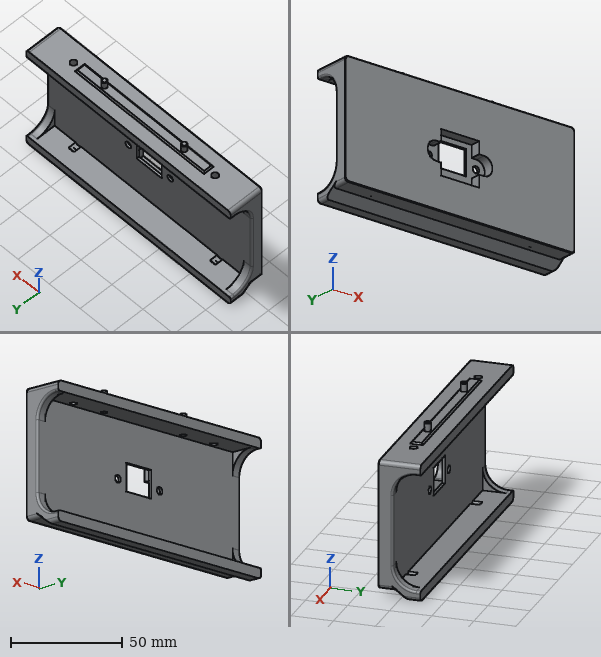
import cadquery as cq

LENGTH = 132.0
DEPTH = 20.0
HEIGHT = 66.0
END_RADIUS = 2.0
FRONT_CHAMFER = 0.4

WALL = 7.0
FLANGE = 5.0
GUSSET_WIDTH = 5.0
GUSSET_RADIUS = 11.0
CAVITY_EDGE_RADIUS = 1.0
CAVITY_BOTTOM_Z = FLANGE
CAVITY_TOP_Z = HEIGHT - FLANGE
CAVITY_HEIGHT = CAVITY_TOP_Z - CAVITY_BOTTOM_Z
SELECT_MARGIN = 0.1

STEP_HEIGHT = 4.0
STEP_END_Y = 9.2
SLOPE_END_Y = 14.4

RECESS_WIDTH = 21.9
RECESS_HEIGHT = 23.0
RECESS_DEPTH = 5.5
EAR_DIAMETER = 10.0
SCREW_SPACING = 27.0
SCREW_HOLE_DIAMETER = 3.5
WINDOW_WIDTH = 16.0
WINDOW_HEIGHT = 13.5
RECESS_Z = HEIGHT / 2
WINDOW_OFFSET = 2.0
WINDOW_Z = RECESS_Z + WINDOW_OFFSET

TOP_Y = DEPTH / 2
STRIP_LENGTH = 83.3
STRIP_WIDTH = 6.1
STRIP_HEIGHT = 0.8
TOP_HOLE_SPACING = 91.3
TOP_HOLE_DIAMETER = 3.5

GROOVE_DIAMETER = 5.5
GROOVE_DEPTH = 0.7
GROOVE_END_Y = 11.4

PIN_DIAMETER = 3.0
PIN_SPACING = 51.5
PIN_TOP_Z = 71.0
PIN_CHAMFER = 0.4
PIN_BOTTOM_Z = CAVITY_TOP_Z


def centred_box(width, depth, height, y_start, z_centre):
    """Box centred on X = 0 that starts at y_start and runs towards +Y."""
    return cq.Workplane("XY").box(width, depth, height).translate((0, y_start + depth / 2, z_centre))


def make_shell():
    """Solid outer block with the stepped underside, rounded ends and chamfered front."""
    block = (
        cq.Workplane("YZ")
        .moveTo(0, STEP_HEIGHT)
        .lineTo(STEP_END_Y, STEP_HEIGHT)
        .lineTo(SLOPE_END_Y, 0)
        .lineTo(DEPTH, 0)
        .lineTo(DEPTH, HEIGHT)
        .lineTo(0, HEIGHT)
        .close()
        .extrude(LENGTH / 2, both=True)
    )
    return block.edges("|Y").fillet(END_RADIUS).faces("<Y").chamfer(FRONT_CHAMFER)


def cut_cavity(body):
    """Cut an opening with rounded corners, round its end rims, then square it between the gussets."""
    opening = (
        centred_box(LENGTH, DEPTH - WALL, CAVITY_HEIGHT, WALL, HEIGHT / 2)
        .edges("|X and <Y")
        .fillet(GUSSET_RADIUS)
    )
    middle_length = LENGTH - 2 * GUSSET_WIDTH
    middle = centred_box(middle_length, DEPTH - WALL, CAVITY_HEIGHT, WALL, HEIGHT / 2)
    body = body.cut(opening)
    for end_x in (-LENGTH / 2, LENGTH / 2):
        rim = cq.selectors.BoxSelector(
            (end_x - SELECT_MARGIN, WALL - SELECT_MARGIN, CAVITY_BOTTOM_Z - SELECT_MARGIN),
            (end_x + SELECT_MARGIN, DEPTH - SELECT_MARGIN, CAVITY_TOP_Z + SELECT_MARGIN),
        )
        body = body.edges(rim).fillet(CAVITY_EDGE_RADIUS)
    return body.cut(middle)


def cut_connector_recess(body):
    """Cut the recess with its screw ears, the window and the two screw holes."""
    recess = centred_box(RECESS_WIDTH, RECESS_DEPTH, RECESS_HEIGHT, 0, RECESS_Z)
    front = cq.Workplane("XZ", origin=(0, 0, RECESS_Z))
    ears = front.slot2D(SCREW_SPACING + EAR_DIAMETER, EAR_DIAMETER).extrude(-RECESS_DEPTH)
    screw_holes = (
        front.rarray(SCREW_SPACING, 1.3, 2, 1).circle(SCREW_HOLE_DIAMETER / 2).extrude(-WALL)
    )
    window = centred_box(WINDOW_WIDTH, WALL, WINDOW_HEIGHT, 0, WINDOW_Z)
    return body.cut(recess).cut(ears).cut(screw_holes).cut(window)


def top_cylinders(spacing, diameter, bottom_z, top_z):
    """Pair of upright cylinders on the centreline of the top face."""
    return (
        cq.Workplane("XY", origin=(0, TOP_Y, bottom_z))
        .rarray(spacing, 1.3, 2, 1)
        .circle(diameter / 2)
        .extrude(top_z - bottom_z)
    )


def cut_flange_grooves(body):
    """Cut the grooves that run from the front wall along Y in the lower flange."""
    radius = GROOVE_DIAMETER / 2
    axis_z = CAVITY_BOTTOM_Z - GROOVE_DEPTH + radius
    grooves = (
        cq.Workplane("XZ", origin=(0, WALL, axis_z))
        .rarray(TOP_HOLE_SPACING, 1.3, 2, 1)
        .circle(radius)
        .extrude(WALL - GROOVE_END_Y)
    )
    return body.cut(grooves)


def make_housing():
    """Complete housing with the raised strip and all holes in its top flange."""
    body = make_shell()
    body = cut_cavity(body)
    body = cut_connector_recess(body)
    body = cut_flange_grooves(body)
    strip = (
        cq.Workplane("XY", origin=(0, TOP_Y, HEIGHT))
        .rect(STRIP_LENGTH, STRIP_WIDTH)
        .extrude(STRIP_HEIGHT, taper=45)
    )
    top_holes = top_cylinders(TOP_HOLE_SPACING, TOP_HOLE_DIAMETER, CAVITY_TOP_Z, HEIGHT)
    pin_holes = top_cylinders(PIN_SPACING, PIN_DIAMETER, PIN_BOTTOM_Z, PIN_TOP_Z)
    return body.union(strip).cut(top_holes).cut(pin_holes)


def make_pin(x):
    """Pin pressed through the top flange, chamfered at its upper end."""
    return (
        cq.Workplane("XY", origin=(x, TOP_Y, PIN_BOTTOM_Z))
        .circle(PIN_DIAMETER / 2)
        .extrude(PIN_TOP_Z - PIN_BOTTOM_Z)
        .faces(">Z")
        .chamfer(PIN_CHAMFER)
    )


housing = make_housing()
pins = [make_pin(side * PIN_SPACING / 2) for side in (-1, 1)]

result = cq.Compound.makeCompound([housing.val(), *[pin.val() for pin in pins]])